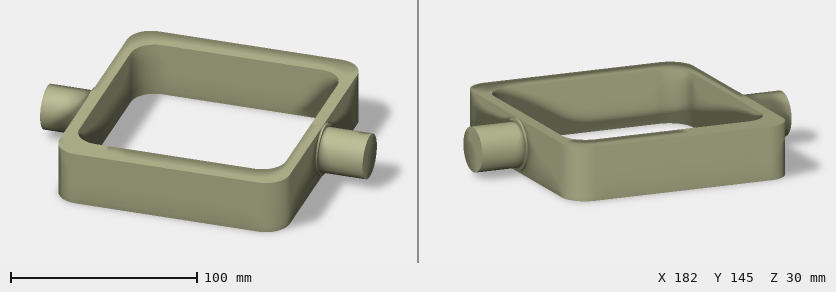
import cadquery as cq

frame_length_x = 130.0
frame_length_y = 145.0
frame_height = 30.0
opening_side = 116.7
corner_radius = 13.5

span_x = 182.0
pin_diameter = 25.0
collar_diameter = 29.0
collar_thickness = 1.0


def rounded_block(length_x, length_y):
    """Block of the frame height with rounded vertical edges."""
    block = cq.Workplane("XY").box(length_x, length_y, frame_height)
    return block.edges("|Z").fillet(corner_radius)


def trunnion(side):
    """Pin with a thin collar at its root; side is +1 or -1 along X."""
    face_x = frame_length_x / 2
    pin_length = span_x / 2 - face_x
    face = cq.Workplane("YZ", origin=(side * face_x, 0, 0))
    pin = face.circle(pin_diameter / 2).extrude(side * pin_length)
    collar = face.circle(collar_diameter / 2).extrude(side * collar_thickness)
    return pin.union(collar)


result = rounded_block(frame_length_x, frame_length_y)
result = result.cut(rounded_block(opening_side, opening_side))
for side in (-1, 1):
    result = result.union(trunnion(side))